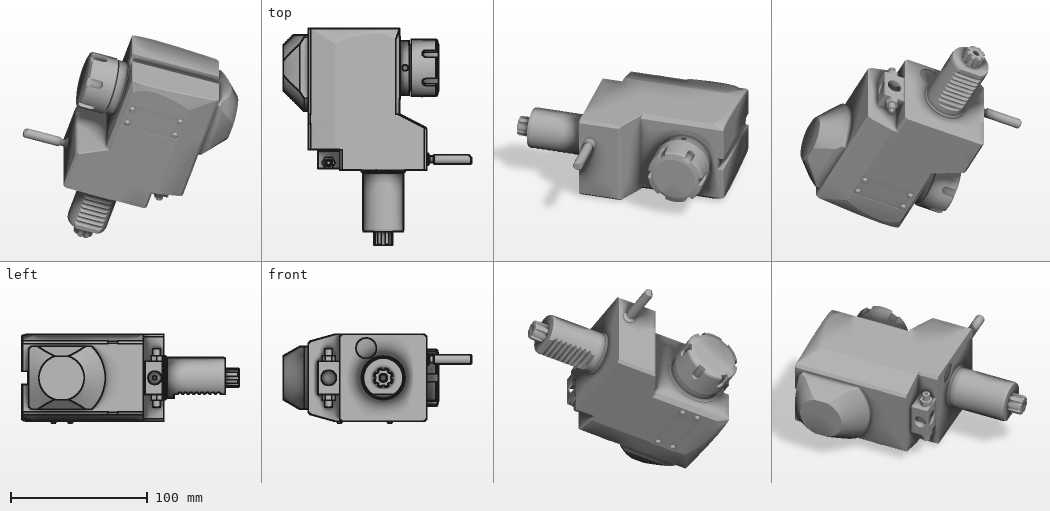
import cadquery as cq
import math


HALF_HEIGHT = 32.0
BASE_HALF_WIDTH = 32.0
BASE_CHAMFER = 2.0
SIDE_X = -55.0
SIDE_FRONT_Y = 15.0
REAR_Y = 104.0
REAR_EDGE_CHAMFER = 0.5
SLOPE_START_X = -35.0
SLOPE_END_X = -53.0
SLOPE_END_Z = 27.0
SIDE_CORNER = 2.0
LAND_CORNER = 1.6
LAND_Y = (33.9, 41.1)
RIGHT_X = 12.0
RIGHT_CHAMFER = 3.0
SHOULDER_INNER_Y = 41.1
SHOULDER_OUTER_Y = 30.8
SHOULDER_CHAMFER = 0.6
SHOULDER_CORNER = 1.0
REAR_SLOT_HEIGHT = 9.6
REAR_SLOT_DEPTH = 4.4

RELIEF_FRONT_Y = 92.4
RELIEF_RIGHT_Y = 95.3
RELIEF_REAR_CONTROL = (4.8, 33.8)
RELIEF_FRONT_CONTROL = (-12.8, 35.4)

SPINDLE_Y = 75.0
SEAL_RADIUS = 22.6
SEAL_END_X = 12.5
RING_RADIUS = 20.0
RING_END_X = 19.0
SPINDLE_NECK_RADIUS = 16.8
NUT_RADIUS = 21.0
NUT_START_X = 20.4
NUT_TAPER_X = 38.3
NUT_RIM_X = 39.6
NUT_RIM_RADIUS = 20.4
NUT_END_X = 40.7
NUT_END_RADIUS = 16.0
NUT_SLOT_COUNT = 6
NUT_SLOT_WIDTH = 6.0
NUT_SLOT_START_X = 28.6
NUT_SLOT_FLOOR_RADIUS = 18.0
SET_SCREW_X = 16.0
SET_SCREW_DIAMETER = 4.4
SET_SCREW_DEPTH = 2.0

COVER_RADIUS = 32.0
COVER_HALF_HEIGHT = 23.0
COVER_REAR_Y = 99.2
COVER_RIM_X = -58.0
COVER_END_X = -73.4
COVER_BEVEL_X = -61.1
COVER_BEVEL_END_Z = 15.9

SHANK_RADIUS = 15.0
SHANK_LENGTH = 45.0
FLANGE_RADIUS = 16.0
FLANGE_LENGTH = 1.6
FLANGE_CHAMFER = 0.6
RELIEF_RADIUS = 14.8
RELIEF_END_Y = -2.3
SHANK_CHAMFER_LENGTH = 2.0
SHANK_CHAMFER = 0.5
FLAT_Z = -12.1
FLAT_START_Y = -7.4
TOOTH_PITCH = 4.0
NOTCH_COUNT = 8
NOTCH_FIRST_Y = -11.8
NOTCH_DEPTH = 1.5
NOTCH_FLOOR = 0.8

SPLINE_TEETH = 8
SPLINE_RADIUS = 7.2
SPLINE_ROOT_RADIUS = 5.4
SPLINE_LENGTH = 10.0
SPLINE_CHAMFER = 0.8
SPLINE_GAP_WIDTH = 2.6
SPLINE_BORE_RADIUS = 2.4
SPLINE_BORE_MOUTH_RADIUS = 3.1
SPLINE_BORE_DEPTH = 8.0

PIN_Y = 8.0
PIN_Z = 13.5
PIN_RADIUS = 3.5
PIN_NECK_RADIUS = 2.5
PIN_SEAT_RADIUS = 4.4
PIN_SEAT_END_X = 32.8
PIN_NECK_START_X = 34.0
PIN_NECK_END_X = 36.8
PIN_START_X = 37.4
PIN_END_X = 64.98
PIN_TIP_CHAMFER = 1.0
PIN_BEVEL = 2.7

VALVE_LEFT_X = -47.8
VALVE_FRONT_Y = 1.1
VALVE_REAR_Y = 14.1
VALVE_HALF_HEIGHT = 12.3
VALVE_CHAMFER = 0.3
FRONT_PORT_X = -40.0
FRONT_PORT_DIAMETER = 11.0
FRONT_PORT_DEPTH = 11.4
SIDE_PORT_Y = 6.8
SIDE_PORT_DIAMETER = 9.8
SIDE_PORT_DEPTH = 13.3
SIDE_PILOT_DIAMETER = 3.0
SIDE_PILOT_DEPTH = 2.5
NIPPLE_Y = 5.4
NIPPLE_HEX_FLATS = 8.1
NIPPLE_HEX_HEIGHT = 4.0
NIPPLE_DIAMETER = 5.4
NIPPLE_TOP_Z = 21.4
NIPPLE_BORE_DIAMETER = 3.0
NIPPLE_BORE_DEPTH = 3.0

PLUG_X = -12.5
PLUG_Z = 21.7
PLUG_DIAMETER = 15.0
PLUG_DEPTH = 1.0

RIVET_X = (-32.0, 4.8)
RIVET_Y = (68.6, 80.9)
RIVET_RADIUS = 2.0
RIVET_TIP_RADIUS = 1.0
RIVET_HEIGHT = 1.4
PLATE_MARGIN = 3.5
PLATE_DEPTH = 0.3

OVERLAP = 1.0
OVERSHOOT = 10.0


def extrude_y(points, y_start, y_end):
    """Prism along Y from an (X, Z) outline."""
    plane = cq.Workplane("XZ", origin=(0, y_end, 0))
    return plane.polyline(points).close().extrude(y_end - y_start)


def box_between(x_range, y_range, z_range):
    size = [r[1] - r[0] for r in (x_range, y_range, z_range)]
    low = (x_range[0], y_range[0], z_range[0])
    return cq.Workplane("XY").box(*size, centered=False).translate(low)


def revolve_x(profile, y, z):
    """Turned part about an axis parallel to X, from (X, radius) points."""
    outline = [(profile[0][0], 0)] + profile + [(profile[-1][0], 0)]
    turned = cq.Workplane("XY").polyline(outline).close().revolve(360, (0, 0, 0), (1, 0, 0))
    return turned.translate((0, y, z))


def revolve_y(profile):
    """Turned part about the Y axis, from (radius, Y) points."""
    outline = [(0, profile[0][1])] + profile + [(0, profile[-1][1])]
    return cq.Workplane("XY").polyline(outline).close().revolve(360, (0, 0, 0), (0, 1, 0))


def rear_part_outline(corner):
    """(X, Z) section of the rear part; corner is the chamfer on its left edges."""
    slope = (HALF_HEIGHT - SLOPE_END_Z) / (SLOPE_START_X - SLOPE_END_X)
    corner_x = SIDE_X + corner
    corner_z = SLOPE_END_Z + slope * (corner_x - SLOPE_END_X)
    upper = [
        (SIDE_X, corner_z - corner),
        (corner_x, corner_z),
        (SLOPE_START_X, HALF_HEIGHT),
        (RIGHT_X - RIGHT_CHAMFER, HALF_HEIGHT),
        (RIGHT_X, HALF_HEIGHT - RIGHT_CHAMFER),
    ]
    lower = [(x, -z) for x, z in reversed(upper)]
    return upper + lower


def make_rear_part():
    main = extrude_y(rear_part_outline(SIDE_CORNER), SIDE_FRONT_Y, REAR_Y)
    land = extrude_y(rear_part_outline(LAND_CORNER), *LAND_Y)
    return main.union(land)


def make_front_block():
    plan = [
        (-BASE_HALF_WIDTH, 0),
        (BASE_HALF_WIDTH, 0),
        (BASE_HALF_WIDTH, SHOULDER_OUTER_Y),
        (RIGHT_X, SHOULDER_INNER_Y),
        (-BASE_HALF_WIDTH, SHOULDER_INNER_Y),
    ]
    block = cq.Workplane("XY").polyline(plan).close().extrude(2 * HALF_HEIGHT)
    block = block.translate((0, 0, -HALF_HEIGHT))
    shoulder_mid = ((RIGHT_X + BASE_HALF_WIDTH) / 2, (SHOULDER_INNER_Y + SHOULDER_OUTER_Y) / 2)
    for z in (-HALF_HEIGHT, HALF_HEIGHT):
        edge = cq.selectors.NearestToPointSelector((*shoulder_mid, z))
        block = block.edges(edge).chamfer(SHOULDER_CHAMFER)
    half = BASE_HALF_WIDTH
    cut = half - BASE_CHAMFER
    low = HALF_HEIGHT - BASE_CHAMFER
    section = [
        (-half, low), (-cut, HALF_HEIGHT), (cut, HALF_HEIGHT), (half, low),
        (half, -low), (cut, -HALF_HEIGHT), (-cut, -HALF_HEIGHT), (-half, -low),
    ]
    block = block.intersect(extrude_y(section, 0, SHOULDER_INNER_Y))
    corner = cq.selectors.NearestToPointSelector((half, SHOULDER_OUTER_Y, 0))
    return block.edges(corner).chamfer(SHOULDER_CORNER)


def make_rear_relief():
    """Crowned tool that removes the upper rear edge of the housing."""
    right_top_x = RIGHT_X - RIGHT_CHAMFER
    right_rear_z = HALF_HEIGHT - RIGHT_CHAMFER
    reach = (REAR_Y - RELIEF_FRONT_Y) / (REAR_Y - RELIEF_RIGHT_Y)
    right_front = (RIGHT_X + reach * (right_top_x - RIGHT_X), right_rear_z + reach * RIGHT_CHAMFER)
    rear = [(SLOPE_END_X, SLOPE_END_Z), RELIEF_REAR_CONTROL, (RIGHT_X, right_rear_z)]
    front = [(SLOPE_START_X, HALF_HEIGHT), RELIEF_FRONT_CONTROL, right_front]
    ceiling = HALF_HEIGHT + OVERSHOOT

    def section(crown, y):
        sketch = cq.Workplane("XZ", origin=(0, y, 0)).bezier(crown)
        return sketch.lineTo(crown[-1][0], ceiling).lineTo(crown[0][0], ceiling).close().val()

    wires = [section(rear, REAR_Y), section(front, RELIEF_FRONT_Y)]
    return cq.Workplane(cq.Solid.makeLoft(wires, True))


def make_housing():
    housing = make_rear_part().union(make_front_block())
    relief = make_rear_relief()
    housing = housing.cut(relief).cut(relief.mirror("XY"))
    housing = housing.faces(">Y").edges().chamfer(REAR_EDGE_CHAMFER)
    slot = box_between(
        (SIDE_X - OVERSHOOT, RIGHT_X + OVERSHOOT),
        (REAR_Y - REAR_SLOT_DEPTH, REAR_Y + OVERSHOOT),
        (-REAR_SLOT_HEIGHT / 2, REAR_SLOT_HEIGHT / 2),
    )
    plug = cq.Workplane("XZ", origin=(PLUG_X, 0, PLUG_Z)).circle(PLUG_DIAMETER / 2).extrude(-PLUG_DEPTH)
    plate = box_between(
        (RIVET_X[0] - PLATE_MARGIN, RIVET_X[1] + PLATE_MARGIN),
        (RIVET_Y[0] - PLATE_MARGIN, RIVET_Y[1] + PLATE_MARGIN),
        (-HALF_HEIGHT - OVERSHOOT, -HALF_HEIGHT + PLATE_DEPTH),
    )
    return housing.cut(slot).cut(plug).cut(plate)


def make_rivets():
    profile = [(0, PLATE_DEPTH), (RIVET_RADIUS, PLATE_DEPTH), (RIVET_RADIUS, 0)]
    crown = (RIVET_TIP_RADIUS, -RIVET_HEIGHT)
    rivet = cq.Workplane("XZ").polyline(profile).lineTo(*crown).lineTo(0, -RIVET_HEIGHT).close()
    rivet = rivet.revolve(360, (0, 0, 0), (0, 1, 0))
    rivets = cq.Workplane("XY")
    for x in RIVET_X:
        for y in RIVET_Y:
            rivets = rivets.add(rivet.translate((x, y, -HALF_HEIGHT)))
    return rivets.combine()


def make_spindle():
    profile = [
        (RIGHT_X - OVERLAP, SEAL_RADIUS), (SEAL_END_X, SEAL_RADIUS),
        (SEAL_END_X, RING_RADIUS), (RING_END_X, RING_RADIUS),
        (RING_END_X, SPINDLE_NECK_RADIUS), (NUT_START_X, SPINDLE_NECK_RADIUS),
        (NUT_START_X, NUT_RADIUS), (NUT_TAPER_X, NUT_RADIUS),
        (NUT_RIM_X, NUT_RIM_RADIUS), (NUT_END_X, NUT_END_RADIUS),
    ]
    spindle = revolve_x(profile, SPINDLE_Y, 0)
    slot_end_x = NUT_SLOT_START_X + NUT_SLOT_WIDTH / 2
    slot = (
        cq.Workplane("XY", origin=(0, SPINDLE_Y, NUT_SLOT_FLOOR_RADIUS))
        .moveTo(slot_end_x, -NUT_SLOT_WIDTH / 2)
        .lineTo(NUT_END_X + OVERSHOOT, -NUT_SLOT_WIDTH / 2)
        .lineTo(NUT_END_X + OVERSHOOT, NUT_SLOT_WIDTH / 2)
        .lineTo(slot_end_x, NUT_SLOT_WIDTH / 2)
        .threePointArc((NUT_SLOT_START_X, 0), (slot_end_x, -NUT_SLOT_WIDTH / 2))
        .close()
        .extrude(OVERSHOOT)
    )
    step = 360 / NUT_SLOT_COUNT
    for i in range(NUT_SLOT_COUNT):
        angle = (i + 0.5) * step
        spindle = spindle.cut(slot.rotate((0, SPINDLE_Y, 0), (1, SPINDLE_Y, 0), angle))
    floor_z = RING_RADIUS - SET_SCREW_DEPTH
    screw = cq.Workplane("XY", origin=(SET_SCREW_X, SPINDLE_Y, floor_z))
    return spindle.cut(screw.circle(SET_SCREW_DIAMETER / 2).extrude(OVERSHOOT))


def make_cover():
    end_radius = COVER_RADIUS - (COVER_RIM_X - COVER_END_X)
    profile = [(COVER_END_X, end_radius), (COVER_RIM_X, COVER_RADIUS), (SIDE_X + OVERLAP, COVER_RADIUS)]
    cover = revolve_x(profile, SPINDLE_Y, 0)
    upper = [
        (COVER_END_X, COVER_BEVEL_END_Z),
        (COVER_BEVEL_X, COVER_HALF_HEIGHT),
        (SIDE_X + OVERLAP, COVER_HALF_HEIGHT),
    ]
    outline = upper + [(x, -z) for x, z in reversed(upper)]
    return cover.intersect(extrude_y(outline, SPINDLE_Y - COVER_RADIUS - OVERSHOOT, COVER_REAR_Y))


def make_shank():
    profile = [
        (FLANGE_RADIUS, OVERLAP), (FLANGE_RADIUS, FLANGE_CHAMFER - FLANGE_LENGTH),
        (FLANGE_RADIUS - FLANGE_CHAMFER, -FLANGE_LENGTH),
        (RELIEF_RADIUS, -FLANGE_LENGTH), (RELIEF_RADIUS, RELIEF_END_Y),
        (SHANK_RADIUS, RELIEF_END_Y), (SHANK_RADIUS, -SHANK_LENGTH + SHANK_CHAMFER_LENGTH),
        (SHANK_RADIUS - SHANK_CHAMFER, -SHANK_LENGTH),
    ]
    shank = revolve_y(profile)
    across = (-SHANK_RADIUS, SHANK_RADIUS)
    flat = box_between(across, (-SHANK_LENGTH - OVERSHOOT, FLAT_START_Y), (-SHANK_RADIUS - OVERSHOOT, FLAT_Z))
    shank = shank.cut(flat)
    half_floor = NOTCH_FLOOR / 2
    half_mouth = half_floor + NOTCH_DEPTH
    notch_outline = [
        (-half_mouth, FLAT_Z), (-half_floor, FLAT_Z + NOTCH_DEPTH),
        (half_floor, FLAT_Z + NOTCH_DEPTH), (half_mouth, FLAT_Z),
    ]
    notch = cq.Workplane("YZ").polyline(notch_outline).close().extrude(SHANK_RADIUS, both=True)
    for i in range(NOTCH_COUNT):
        shank = shank.cut(notch.translate((0, NOTCH_FIRST_Y - i * TOOTH_PITCH, 0)))
    return shank


def make_spline():
    end_y = -SHANK_LENGTH - SPLINE_LENGTH
    spline = revolve_y([
        (SPLINE_RADIUS, -SHANK_LENGTH + OVERLAP), (SPLINE_RADIUS, end_y + SPLINE_CHAMFER),
        (SPLINE_RADIUS - SPLINE_CHAMFER, end_y),
    ])
    gap_end_z = SPLINE_ROOT_RADIUS + SPLINE_GAP_WIDTH / 2
    gap = (
        cq.Workplane("XZ", origin=(0, -SHANK_LENGTH, 0))
        .moveTo(-SPLINE_GAP_WIDTH / 2, SPLINE_RADIUS + OVERSHOOT)
        .lineTo(-SPLINE_GAP_WIDTH / 2, gap_end_z)
        .threePointArc((0, SPLINE_ROOT_RADIUS), (SPLINE_GAP_WIDTH / 2, gap_end_z))
        .lineTo(SPLINE_GAP_WIDTH / 2, SPLINE_RADIUS + OVERSHOOT)
        .close()
        .extrude(SPLINE_LENGTH + OVERSHOOT)
    )
    for i in range(SPLINE_TEETH):
        spline = spline.cut(gap.rotate((0, 0, 0), (0, 1, 0), i * 360 / SPLINE_TEETH))
    mouth_depth = SPLINE_BORE_MOUTH_RADIUS - SPLINE_BORE_RADIUS
    bore = revolve_y([
        (SPLINE_BORE_MOUTH_RADIUS, end_y), (SPLINE_BORE_RADIUS, end_y + mouth_depth),
        (SPLINE_BORE_RADIUS, end_y + SPLINE_BORE_DEPTH),
    ])
    return spline.cut(bore)


def make_pin():
    profile = [
        (BASE_HALF_WIDTH - OVERLAP, PIN_SEAT_RADIUS), (PIN_SEAT_END_X, PIN_SEAT_RADIUS),
        (PIN_NECK_START_X, PIN_NECK_RADIUS), (PIN_NECK_END_X, PIN_NECK_RADIUS),
        (PIN_START_X, PIN_RADIUS), (PIN_END_X - PIN_TIP_CHAMFER, PIN_RADIUS),
        (PIN_END_X, PIN_RADIUS - PIN_TIP_CHAMFER),
    ]
    side_y = PIN_Y + PIN_RADIUS
    bevel = [(PIN_END_X - PIN_BEVEL, side_y), (PIN_END_X, side_y), (PIN_END_X, side_y - PIN_BEVEL)]
    wedge = cq.Workplane("XY", origin=(0, 0, PIN_Z)).polyline(bevel).close().extrude(PIN_RADIUS, both=True)
    return revolve_x(profile, PIN_Y, PIN_Z).cut(wedge)


def make_nipple():
    """Hexagon and stud standing on top of the valve block."""
    base = cq.Workplane("XY", origin=(FRONT_PORT_X, NIPPLE_Y, VALVE_HALF_HEIGHT))
    corner_diameter = NIPPLE_HEX_FLATS / math.cos(math.radians(30))
    nipple = base.polygon(6, corner_diameter).extrude(NIPPLE_HEX_HEIGHT)
    nipple = nipple.union(base.circle(NIPPLE_DIAMETER / 2).extrude(NIPPLE_TOP_Z - VALVE_HALF_HEIGHT))
    return nipple.faces(">Z").workplane().hole(NIPPLE_BORE_DIAMETER, NIPPLE_BORE_DEPTH)


def make_valve_block():
    heights = (-VALVE_HALF_HEIGHT, VALVE_HALF_HEIGHT)
    block = box_between((VALVE_LEFT_X, OVERLAP - BASE_HALF_WIDTH), (VALVE_FRONT_Y, VALVE_REAR_Y), heights)
    block = block.edges().chamfer(VALVE_CHAMFER)
    front = cq.Workplane("XZ", origin=(FRONT_PORT_X, VALVE_FRONT_Y, 0))
    side = cq.Workplane("YZ", origin=(VALVE_LEFT_X, SIDE_PORT_Y, 0))
    block = block.cut(front.circle(FRONT_PORT_DIAMETER / 2).extrude(-FRONT_PORT_DEPTH))
    block = block.cut(side.circle(SIDE_PORT_DIAMETER / 2).extrude(SIDE_PORT_DEPTH))
    block = block.cut(side.circle(SIDE_PILOT_DIAMETER / 2).extrude(SIDE_PORT_DEPTH + SIDE_PILOT_DEPTH))
    nipple = make_nipple()
    return block.union(nipple).union(nipple.mirror("XY"))


result = make_housing()
for component in (
    make_rivets(), make_spindle(), make_cover(), make_shank(),
    make_spline(), make_pin(), make_valve_block(),
):
    result = result.union(component)